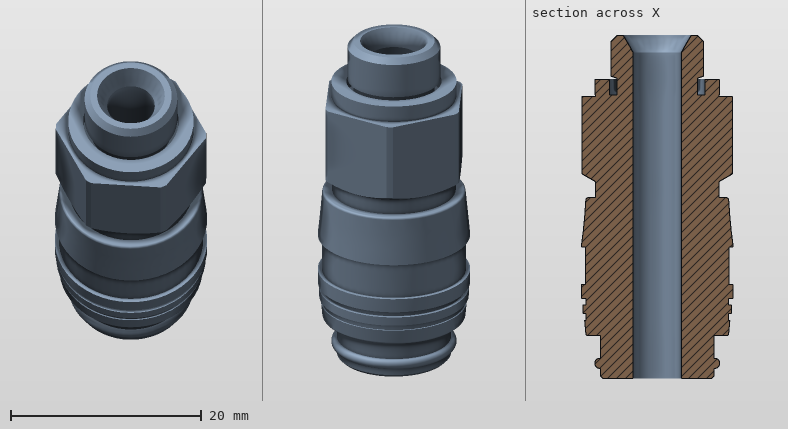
import cadquery as cq
import math

TOTAL_HEIGHT = 36.0
SPIGOT_TOP = 4.5
TAIL_BAND_TOP = 6.15
MIDDLE_BAND_BOTTOM = 6.8
MIDDLE_BAND_TOP = 7.75
UPPER_BAND_BOTTOM = 8.4
UPPER_BAND_TOP = 9.9
GRIP_BOTTOM = 13.8
GRIP_TOP = 19.0
HEX_BOTTOM = 20.65
HEX_TOP = 29.6
SEAL_BOTTOM = 29.8
SEAL_TOP = 31.4
THREAD_BOTTOM = 31.7

SPIGOT_DIA = 12.0
SPIGOT_CHAMFER = 0.3
O_RING_DIA = 13.15
O_RING_SECTION_DIA = 1.1
O_RING_HEIGHT = 1.6

BAND_DIA = 16.0
MIDDLE_BAND_DIA = 15.7
TAIL_BAND_TOP_DIA = 15.3
SLEEVE_DIA = 15.15
GROOVE_DIA = 15.0
SLEEVE_END_DIA = 15.0
SLEEVE_EDGE_RADIUS = 0.25

SHOULDER_DIA = 13.0
HEX_ACROSS_FLATS = 14.0
HEX_CORNER_DIA = 15.8
HEX_CHAMFER_ANGLE = 30.0

SEAL_OUTER_DIA = 13.15
SEAL_INNER_DIA = 10.0
UNDERCUT_DIA = 8.5
THREAD_DIA = 9.73
THREAD_CHAMFER = 0.6
THREAD_RUNOUT_HEIGHT = 0.2

BORE_DIA = 5.0
COUNTERSINK_DIA = 7.1
COUNTERSINK_ANGLE = 60.0


def revolve_profile(points):
    """Turn a (radius, height) outline about the Z axis."""
    return cq.Workplane("XZ").polyline(points).close().revolve(360, (0, 0), (0, 1))


def cylinder(diameter, bottom, top):
    return cq.Workplane("XY").workplane(offset=bottom).circle(diameter / 2).extrude(top - bottom)


def make_plug_end():
    spigot = cylinder(SPIGOT_DIA, 0, SPIGOT_TOP).faces("<Z").chamfer(SPIGOT_CHAMFER)
    section_r = O_RING_SECTION_DIA / 2
    center_r = O_RING_DIA / 2 - section_r
    o_ring = (
        cq.Workplane("XZ")
        .center(-center_r, O_RING_HEIGHT)
        .circle(section_r)
        .revolve(360, (center_r, 0), (center_r, 1))
    )
    return spigot.union(o_ring)


def make_sleeve():
    band_r = BAND_DIA / 2
    middle_r = MIDDLE_BAND_DIA / 2
    sleeve_r = SLEEVE_DIA / 2
    end_r = SLEEVE_END_DIA / 2
    groove_r = GROOVE_DIA / 2
    sleeve = revolve_profile([
        (0, SPIGOT_TOP),
        (end_r, SPIGOT_TOP),
        (TAIL_BAND_TOP_DIA / 2, TAIL_BAND_TOP),
        (groove_r, TAIL_BAND_TOP),
        (groove_r, MIDDLE_BAND_BOTTOM),
        (middle_r, MIDDLE_BAND_BOTTOM),
        (middle_r, MIDDLE_BAND_TOP),
        (groove_r, MIDDLE_BAND_TOP),
        (groove_r, UPPER_BAND_BOTTOM),
        (band_r, UPPER_BAND_BOTTOM),
        (band_r, UPPER_BAND_TOP),
        (sleeve_r, UPPER_BAND_TOP),
        (sleeve_r, GRIP_BOTTOM),
        (band_r, GRIP_BOTTOM),
        (end_r, GRIP_TOP),
        (0, GRIP_TOP),
    ])
    return sleeve.faces("<Z or >Z").edges("%CIRCLE").fillet(SLEEVE_EDGE_RADIUS)


def make_hexagon():
    """Hexagon with flats facing +X and -X, turned corners and a coned underside."""
    across_corners = HEX_ACROSS_FLATS / math.cos(math.pi / 6)
    prism = (
        cq.Workplane("XY")
        .workplane(offset=HEX_BOTTOM)
        .transformed(rotate=(0, 0, 90))
        .polygon(6, across_corners)
        .extrude(HEX_TOP - HEX_BOTTOM)
    )
    shoulder_r = SHOULDER_DIA / 2
    corner_r = HEX_CORNER_DIA / 2
    cone_rise = (corner_r - shoulder_r) * math.tan(math.radians(HEX_CHAMFER_ANGLE))
    turned_blank = revolve_profile([
        (0, HEX_BOTTOM),
        (shoulder_r, HEX_BOTTOM),
        (corner_r, HEX_BOTTOM + cone_rise),
        (corner_r, HEX_TOP),
        (0, HEX_TOP),
    ])
    return prism.intersect(turned_blank)


def make_seal():
    """Flat seal lying on the shoulder, leaving an open gap around the undercut."""
    seal = cylinder(SEAL_OUTER_DIA, SEAL_BOTTOM, SEAL_TOP)
    return seal.cut(cylinder(SEAL_INNER_DIA, SEAL_BOTTOM, SEAL_TOP))


def make_threaded_end():
    thread_r = THREAD_DIA / 2
    undercut_r = UNDERCUT_DIA / 2
    return revolve_profile([
        (0, SEAL_BOTTOM),
        (undercut_r, SEAL_BOTTOM),
        (undercut_r, THREAD_BOTTOM - THREAD_RUNOUT_HEIGHT),
        (thread_r, THREAD_BOTTOM),
        (thread_r, TOTAL_HEIGHT - THREAD_CHAMFER),
        (thread_r - THREAD_CHAMFER, TOTAL_HEIGHT),
        (0, TOTAL_HEIGHT),
    ])


outer_body = (
    make_plug_end()
    .union(make_sleeve())
    .union(cylinder(SHOULDER_DIA, GRIP_TOP, SEAL_BOTTOM))
    .union(make_hexagon())
    .union(make_seal())
    .union(make_threaded_end())
)

result = outer_body.faces(">Z").workplane(origin=(0, 0, TOTAL_HEIGHT)).cskHole(
    BORE_DIA, COUNTERSINK_DIA, COUNTERSINK_ANGLE
)